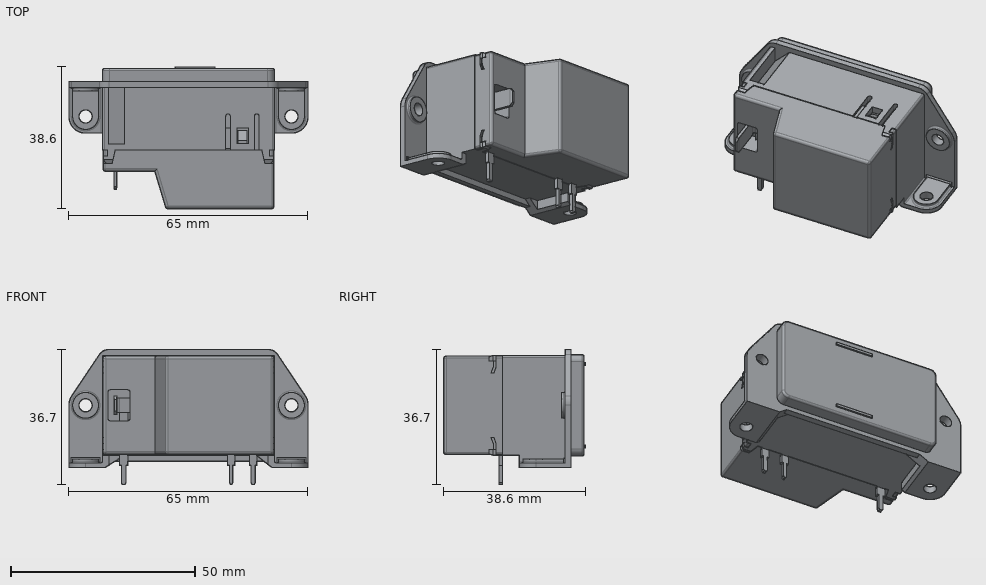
import cadquery as cq


HOUSING_HALF_WIDTH = 23.4
HOUSING_HALF_HEIGHT = 13.6
HOUSING_FRONT_Y = -16.95
HOUSING_TOP_EDGE_RADIUS = 0.6
CAP_HALF_HEIGHT = 13.8
CAP_BACK_Y = 5.15
CAP_CORNER_RADIUS = 1.95
CAP_EDGE_RADIUS = 0.6
BAR_X_RANGE = (-3.65, 7.2)
BAR_HEIGHT = 0.8
BAR_PROJECTION = 0.4
BAR_Z = 11.2

PLATE_THICKNESS = 1.6
PLATE_HALF_WIDTH = 32.5
PLATE_HALF_HEIGHT = 15.2
PLATE_TOP_HALF_WIDTH = 23.3
PLATE_TOP_RADIUS = 3.25
SHOULDER_RADIUS = 4.55
SHOULDER_Z = 1.4
FOOT_BOTTOM_Z = -16.9
FOOT_TOP_Z = -15.6
WEB_THICKNESS = 1.75
WEB_FILLET = 0.3
HOLE_X = PLATE_HALF_WIDTH - SHOULDER_RADIUS
HOLE_RADIUS = 1.75
FOOT_HOLE_Y = -7.9
FOOT_FRONT_Y = FOOT_HOLE_Y - SHOULDER_RADIUS
PAD_RADIUS = 3.5
PAD_THICKNESS = 1.0
PAD_FILLET = 0.4
SLOPE_START_X = 22.6
LEFT_SLOPE_RUN = 5.2
RIGHT_SLOPE_RUN = 4.15

WEDGE_LEFT_X = -21.8
WEDGE_RIGHT_X = -17.4
WEDGE_FRONT_Y = -15.4
WEDGE_DEPTH = 4.55
SLOT_WIDTH = 1.25
SLOT_BACK_Y = -7.2
SLOT_DEPTH = 1.95
LEFT_SLOT_X = 10.7
RIGHT_SLOT_X = 18.5
SHELF_BACK_Y = -11.1
SHELF_FRONT_Y = -16.6
SHELF_DEPTH = 0.65
LATCH_X = 14.7
LATCH_WIDTH = 3.1
LATCH_Y_RANGE = (-15.3, -11.1)
LATCH_DEPTH = 1.95
HOOK_WIDTH = 2.5
HOOK_RAMP_BACK_Y = -11.7
HOOK_RAMP_FRONT_Y = -14.4
HOOK_TOP_GAP = 0.5

LUG_ROOT_X = 19.9
LUG_TIP_X = 20.75
LUG_NECK_X = 22.0
LUG_STEP_Y = -18.7
LUG_SLOPE_Y = -19.6
LUG_TIP_Y = -20.7
LUG_BOTTOM_Z = 12.0
LUG_TIP_TOP_Z = 13.1
LUG_TIP_OUTER_X = 22.35

COVER_HALF_WIDTH = 23.2
COVER_HALF_HEIGHT = 13.4
COVER_LOW_FRONT_Y = -22.9
COVER_FRONT_Y = -33.0
COVER_SLOPE_TOP_X = -9.15
COVER_SLOPE_BOTTOM_X = -6.1
COVER_FRONT_RADIUS = 0.8
COVER_SIDE_RADIUS = 0.5
WINDOW_X_RANGE = (-21.9, -15.85)
WINDOW_HALF_HEIGHT = 4.2
WINDOW_RADIUS = 0.7
GROOVE_WIDTH = 0.8
GROOVE_DEPTH = 0.65
GROOVE_BEND_Z = 10.4
GROOVE_END_Z = 8.7
GROOVE_SHIFT = 0.65

STRIP_THICKNESS = 1.05
PIN_BOTTOM_Z = -21.5
SHANK_BOTTOM_Z = -16.3
CONTACT_SHANK_TOP_Z = -11.7
PIN_TIP_TAPER = 0.25
PIN_TIP_LENGTH = 0.5
BLADE_LEFT_X = -20.3
BLADE_THICKNESS = 0.85
BLADE_HALF_HEIGHT = 2.5
BLADE_TIP_HALF_HEIGHT = 1.55
BLADE_TIP_Y = -27.75
BLADE_TAPER_Y = -27.0
BLADE_TIP_BEVEL = 0.1
BASE_HALF_HEIGHT = 2.0
BEND_RADIUS = 0.65
PINS = [
    (-17.6, 2.35, 1.3, -BASE_HALF_HEIGHT),
    (11.6, 2.0, 0.9, CONTACT_SHANK_TOP_Z),
    (17.55, 2.0, 1.2, CONTACT_SHANK_TOP_Z),
]


def box(x_range, y_range, z_range):
    """A box between two x, two y and two z values."""
    sizes = [max(r) - min(r) for r in (x_range, y_range, z_range)]
    return cq.Workplane().box(*sizes, centered=False).translate((min(x_range), min(y_range), min(z_range)))


def extrude_along_y(points, back_y, front_y):
    """Extrude an XZ outline forwards from back_y to front_y."""
    sketch = cq.Workplane("XZ", origin=(0, back_y, 0)).polyline(points).close()
    return sketch.extrude(back_y - front_y)


def extrude_along_x(points, left_x, right_x):
    """Extrude a YZ outline from left_x to right_x."""
    sketch = cq.Workplane("YZ", origin=(left_x, 0, 0)).polyline(points).close()
    return sketch.extrude(right_x - left_x)


def four_corners(shape):
    """The shape and its mirror images at the other three corners of the X-Z section."""
    pair = shape.union(shape.mirror("YZ"))
    return pair.union(pair.mirror("XY"))


def make_lug_recess():
    """Full recess in the cover for the lug at the upper right corner."""
    outline = [
        (LUG_ROOT_X, HOUSING_FRONT_Y),
        (LUG_NECK_X, HOUSING_FRONT_Y),
        (LUG_NECK_X, LUG_STEP_Y),
        (COVER_HALF_WIDTH, LUG_STEP_Y),
        (COVER_HALF_WIDTH, LUG_TIP_Y),
        (LUG_TIP_X, LUG_TIP_Y),
    ]
    sketch = cq.Workplane(origin=(0, 0, LUG_BOTTOM_Z)).polyline(outline).close()
    return sketch.extrude(HOUSING_HALF_HEIGHT - LUG_BOTTOM_Z)


def make_lug():
    """Lug at the upper right corner: it fills its recess but for a sloped tip and a cut corner."""
    slope = [
        (LUG_SLOPE_Y, HOUSING_HALF_HEIGHT),
        (LUG_TIP_Y, HOUSING_HALF_HEIGHT),
        (LUG_TIP_Y, LUG_TIP_TOP_Z),
    ]
    corner = [
        (COVER_HALF_WIDTH, LUG_SLOPE_Y),
        (COVER_HALF_WIDTH, LUG_TIP_Y),
        (LUG_TIP_OUTER_X, LUG_TIP_Y),
    ]
    corner_cut = cq.Workplane().polyline(corner).close().extrude(HOUSING_HALF_HEIGHT)
    slope_cut = extrude_along_x(slope, LUG_ROOT_X, COVER_HALF_WIDTH)
    return make_lug_recess().cut(slope_cut).cut(corner_cut)


def make_box_and_cap():
    """Front box and the rear cap behind the plate, with two raised bars on the cap."""
    front_box = box(
        (-HOUSING_HALF_WIDTH, HOUSING_HALF_WIDTH),
        (HOUSING_FRONT_Y, PLATE_THICKNESS),
        (-HOUSING_HALF_HEIGHT, HOUSING_HALF_HEIGHT),
    ).edges("|Y and >Z").fillet(HOUSING_TOP_EDGE_RADIUS)
    cap = box(
        (-HOUSING_HALF_WIDTH, HOUSING_HALF_WIDTH),
        (0, CAP_BACK_Y),
        (-CAP_HALF_HEIGHT, CAP_HALF_HEIGHT),
    )
    cap = cap.edges("|Y").fillet(CAP_CORNER_RADIUS).faces(">Y").edges().fillet(CAP_EDGE_RADIUS)
    body = front_box.union(cap)
    for z in (-BAR_Z, BAR_Z):
        z_range = (z - BAR_HEIGHT / 2, z + BAR_HEIGHT / 2)
        body = body.union(box(BAR_X_RANGE, (CAP_BACK_Y, CAP_BACK_Y + BAR_PROJECTION), z_range))
    return body


def make_plate():
    """Mounting plate with sloped upper corners and rounded shoulders."""
    outline = [
        (-PLATE_HALF_WIDTH, FOOT_TOP_Z),
        (-PLATE_HALF_WIDTH, SHOULDER_Z),
        (-PLATE_TOP_HALF_WIDTH, PLATE_HALF_HEIGHT),
        (PLATE_TOP_HALF_WIDTH, PLATE_HALF_HEIGHT),
        (PLATE_HALF_WIDTH, SHOULDER_Z),
        (PLATE_HALF_WIDTH, FOOT_TOP_Z),
        (HOUSING_HALF_WIDTH, FOOT_TOP_Z),
        (HOUSING_HALF_WIDTH, -PLATE_HALF_HEIGHT),
        (-HOUSING_HALF_WIDTH, -PLATE_HALF_HEIGHT),
        (-HOUSING_HALF_WIDTH, FOOT_TOP_Z),
    ]
    plate = extrude_along_y(outline, PLATE_THICKNESS, 0)
    for x, z, radius in (
        (PLATE_HALF_WIDTH, SHOULDER_Z, SHOULDER_RADIUS),
        (PLATE_TOP_HALF_WIDTH, PLATE_HALF_HEIGHT, PLATE_TOP_RADIUS),
    ):
        for side in (-1, 1):
            corner = cq.selectors.NearestToPointSelector((side * x, PLATE_THICKNESS / 2, z))
            plate = plate.edges(corner).fillet(radius)
    return plate


def make_foot(slope_run):
    """Right-hand foot, its web under the box and the gusset that slopes up from the web."""
    slope = (-HOUSING_HALF_HEIGHT - FOOT_BOTTOM_Z) / slope_run
    web_inner_x = HOUSING_HALF_WIDTH - WEB_THICKNESS
    web_corner_z = FOOT_BOTTOM_Z + slope * (SLOPE_START_X - web_inner_x)
    foot = (
        cq.Workplane("XZ", origin=(0, PLATE_THICKNESS, 0))
        .moveTo(PLATE_HALF_WIDTH, FOOT_BOTTOM_Z)
        .lineTo(SLOPE_START_X, FOOT_BOTTOM_Z)
        .lineTo(web_inner_x, web_corner_z)
        .lineTo(web_inner_x, -HOUSING_HALF_HEIGHT)
        .lineTo(HOUSING_HALF_WIDTH, -HOUSING_HALF_HEIGHT)
        .lineTo(HOUSING_HALF_WIDTH, FOOT_TOP_Z + WEB_FILLET)
        .radiusArc((HOUSING_HALF_WIDTH + WEB_FILLET, FOOT_TOP_Z), -WEB_FILLET)
        .lineTo(PLATE_HALF_WIDTH, FOOT_TOP_Z)
        .close()
        .extrude(PLATE_THICKNESS - FOOT_FRONT_Y)
    )
    foot = foot.edges("|Z and >X and <Y").fillet(SHOULDER_RADIUS)
    gusset = [
        (web_inner_x, web_corner_z),
        (web_inner_x, -HOUSING_HALF_HEIGHT),
        (SLOPE_START_X - slope_run, -HOUSING_HALF_HEIGHT),
    ]
    return foot.union(extrude_along_y(gusset, PLATE_THICKNESS, -PLATE_THICKNESS))


def add_foot_pad(foot):
    """Add the raised pad around the foot hole, filleted to the foot and to the plate."""
    pad = (
        cq.Workplane(origin=(HOLE_X, 0, FOOT_TOP_Z))
        .moveTo(-PAD_RADIUS, PLATE_THICKNESS)
        .lineTo(-PAD_RADIUS, FOOT_HOLE_Y)
        .radiusArc((PAD_RADIUS, FOOT_HOLE_Y), -PAD_RADIUS)
        .lineTo(PAD_RADIUS, PLATE_THICKNESS)
        .close()
        .extrude(PAD_THICKNESS)
    )
    reach = PAD_RADIUS + PAD_FILLET / 2
    pad_foot_edges = cq.selectors.BoxSelector(
        (HOLE_X - reach, FOOT_HOLE_Y - reach, FOOT_TOP_Z - PAD_FILLET / 2),
        (HOLE_X + reach, PLATE_THICKNESS + reach, FOOT_TOP_Z + PAD_FILLET / 2),
        boundingbox=True,
    )
    foot = foot.union(pad).edges(pad_foot_edges).fillet(PAD_FILLET)
    flare_half_width = PAD_RADIUS + PAD_FILLET
    pad_top_z = FOOT_TOP_Z + PAD_THICKNESS
    flare = (
        cq.Workplane("YZ", origin=(HOLE_X - flare_half_width, 0, 0))
        .moveTo(0, FOOT_TOP_Z)
        .lineTo(0, pad_top_z + PAD_FILLET)
        .radiusArc((-PAD_FILLET, pad_top_z), -PAD_FILLET)
        .lineTo(-PAD_FILLET, FOOT_TOP_Z)
        .close()
        .extrude(2 * flare_half_width)
    )
    return foot.union(flare)


def make_wall_pad():
    """Raised round pad on the front of the plate, flared by a fillet at its root."""
    return (
        cq.Workplane()
        .lineTo(PAD_RADIUS + PAD_FILLET, 0)
        .radiusArc((PAD_RADIUS, -PAD_FILLET), -PAD_FILLET)
        .lineTo(PAD_RADIUS, -PAD_THICKNESS)
        .lineTo(0, -PAD_THICKNESS)
        .close()
        .revolve(360, (0, 0, 0), (0, 1, 0))
        .translate((HOLE_X, 0, 0))
    )


def make_mount(slope_run):
    """Foot and pads of the right-hand end."""
    return add_foot_pad(make_foot(slope_run)).union(make_wall_pad())


def make_mounting_holes():
    """Drills for the plate hole and the foot hole of the right-hand end."""
    plate_hole = (
        cq.Workplane("XZ", origin=(HOLE_X, PLATE_THICKNESS, 0))
        .circle(HOLE_RADIUS)
        .extrude(PLATE_THICKNESS + PAD_THICKNESS)
    )
    foot_hole = (
        cq.Workplane(origin=(HOLE_X, FOOT_HOLE_Y, FOOT_BOTTOM_Z))
        .circle(HOLE_RADIUS)
        .extrude(FOOT_TOP_Z + PAD_THICKNESS - FOOT_BOTTOM_Z)
    )
    return plate_hole.union(foot_hole)


def make_slot(center_x):
    """Cutter for a slot in the top of the housing, round at the back and open at the front."""
    half_width = SLOT_WIDTH / 2
    arc_start_y = SLOT_BACK_Y - half_width
    return (
        cq.Workplane(origin=(center_x, 0, HOUSING_HALF_HEIGHT - SLOT_DEPTH))
        .moveTo(-half_width, HOUSING_FRONT_Y)
        .lineTo(-half_width, arc_start_y)
        .radiusArc((half_width, arc_start_y), half_width)
        .lineTo(half_width, HOUSING_FRONT_Y)
        .close()
        .extrude(SLOT_DEPTH)
    )


def make_wedge_recess():
    """Cutter for the long recess whose floor slopes down towards the left."""
    outline = [
        (WEDGE_LEFT_X, HOUSING_HALF_HEIGHT),
        (WEDGE_RIGHT_X, HOUSING_HALF_HEIGHT),
        (WEDGE_LEFT_X, HOUSING_HALF_HEIGHT - WEDGE_DEPTH),
    ]
    return extrude_along_y(outline, 0, WEDGE_FRONT_Y)


def make_top_slots():
    """Cutters for both slots, the left one with a shallow shelf in front."""
    deep_left = make_slot(LEFT_SLOT_X)
    shelf_width = (LEFT_SLOT_X - SLOT_WIDTH, LEFT_SLOT_X + SLOT_WIDTH)
    shelf_floor = HOUSING_HALF_HEIGHT - SHELF_DEPTH
    shelf = box(shelf_width, (SHELF_FRONT_Y, SHELF_BACK_Y), (shelf_floor - SLOT_DEPTH, shelf_floor))
    return deep_left.cut(shelf).union(make_slot(RIGHT_SLOT_X))


def make_latch_pocket():
    """Cutter for the square latch pocket, leaving the ramped hook on its floor."""
    pocket = box(
        (LATCH_X - LATCH_WIDTH / 2, LATCH_X + LATCH_WIDTH / 2),
        LATCH_Y_RANGE,
        (HOUSING_HALF_HEIGHT - LATCH_DEPTH, HOUSING_HALF_HEIGHT),
    )
    floor_z = HOUSING_HALF_HEIGHT - LATCH_DEPTH
    hook_top_z = HOUSING_HALF_HEIGHT - HOOK_TOP_GAP
    hook = [
        (HOOK_RAMP_BACK_Y, floor_z),
        (HOOK_RAMP_FRONT_Y, hook_top_z),
        (LATCH_Y_RANGE[0], hook_top_z),
        (LATCH_Y_RANGE[0], floor_z),
    ]
    return pocket.cut(extrude_along_x(hook, LATCH_X - HOOK_WIDTH / 2, LATCH_X + HOOK_WIDTH / 2))


def make_housing():
    """Housing: box, rear cap, plate and feet in one piece, with its recesses and corner lugs."""
    left_mount = make_mount(LEFT_SLOPE_RUN).mirror("YZ")
    housing = make_box_and_cap().union(make_plate()).union(left_mount)
    housing = housing.union(make_mount(RIGHT_SLOPE_RUN)).union(four_corners(make_lug()))
    holes = make_mounting_holes()
    housing = housing.cut(holes).cut(holes.mirror("YZ"))
    return housing.cut(make_wedge_recess()).cut(make_top_slots()).cut(make_latch_pocket())


def make_cover_block():
    """Stepped cover block, rounded everywhere but at its mating face and inner corner."""
    outline = [
        (-COVER_HALF_WIDTH, HOUSING_FRONT_Y),
        (-COVER_HALF_WIDTH, COVER_LOW_FRONT_Y),
        (COVER_SLOPE_TOP_X, COVER_LOW_FRONT_Y),
        (COVER_SLOPE_BOTTOM_X, COVER_FRONT_Y),
        (COVER_HALF_WIDTH, COVER_FRONT_Y),
        (COVER_HALF_WIDTH, HOUSING_FRONT_Y),
    ]
    block = cq.Workplane(origin=(0, 0, -COVER_HALF_HEIGHT)).polyline(outline).close()
    block = block.extrude(2 * COVER_HALF_HEIGHT)
    block = block.faces("|Z").edges("|Y").fillet(COVER_SIDE_RADIUS)
    margin = COVER_SIDE_RADIUS / 2
    front_edges = cq.selectors.BoxSelector(
        (-COVER_HALF_WIDTH - margin, COVER_FRONT_Y - margin, -COVER_HALF_HEIGHT - margin),
        (COVER_HALF_WIDTH + margin, COVER_LOW_FRONT_Y + margin, COVER_HALF_HEIGHT + margin),
        boundingbox=True,
    )
    inner_edge = cq.selectors.NearestToPointSelector((COVER_SLOPE_TOP_X, COVER_LOW_FRONT_Y, 0))
    return block.edges(front_edges - inner_edge).fillet(COVER_FRONT_RADIUS)


def make_window():
    """Cutter for the rounded window in front of the blade, down to the mating face."""
    z_range = (-WINDOW_HALF_HEIGHT, WINDOW_HALF_HEIGHT)
    window = box(WINDOW_X_RANGE, (COVER_LOW_FRONT_Y, HOUSING_FRONT_Y), z_range)
    return window.edges("|Y").fillet(WINDOW_RADIUS)


def make_side_groove():
    """Cutter for the bent groove in the right side, running down from the upper lug."""
    bend_y = LUG_STEP_Y - GROOVE_SHIFT
    outline = [
        (LUG_STEP_Y, LUG_BOTTOM_Z),
        (LUG_STEP_Y, GROOVE_BEND_Z),
        (bend_y, GROOVE_END_Z),
        (bend_y - GROOVE_WIDTH, GROOVE_END_Z),
        (LUG_STEP_Y - GROOVE_WIDTH, GROOVE_BEND_Z),
        (LUG_STEP_Y - GROOVE_WIDTH, LUG_BOTTOM_Z),
    ]
    return extrude_along_x(outline, COVER_HALF_WIDTH - GROOVE_DEPTH, COVER_HALF_WIDTH)


def make_pin(center_x, shank_width, pin_width, top_z):
    """Flat pin with a wide shank above and a tapered tip below."""
    y_range = (HOUSING_FRONT_Y - STRIP_THICKNESS, HOUSING_FRONT_Y)
    shank = box(
        (center_x - shank_width / 2, center_x + shank_width / 2), y_range, (SHANK_BOTTOM_Z, top_z)
    )
    half_width = pin_width / 2
    half_tip = half_width - PIN_TIP_TAPER
    tip_top_z = PIN_BOTTOM_Z + PIN_TIP_LENGTH
    outline = [
        (center_x - half_width, SHANK_BOTTOM_Z),
        (center_x - half_width, tip_top_z),
        (center_x - half_tip, PIN_BOTTOM_Z),
        (center_x + half_tip, PIN_BOTTOM_Z),
        (center_x + half_width, tip_top_z),
        (center_x + half_width, SHANK_BOTTOM_Z),
    ]
    return shank.union(extrude_along_y(outline, *reversed(y_range)))


def make_blade_terminal():
    """Bent terminal: a bevelled blade pointing forwards from a flat base."""
    back_y = HOUSING_FRONT_Y
    right_x = BLADE_LEFT_X + BLADE_THICKNESS
    blade = [
        (back_y, -BLADE_HALF_HEIGHT),
        (BLADE_TAPER_Y, -BLADE_HALF_HEIGHT),
        (BLADE_TIP_Y, -BLADE_TIP_HALF_HEIGHT),
        (BLADE_TIP_Y, BLADE_TIP_HALF_HEIGHT),
        (BLADE_TAPER_Y, BLADE_HALF_HEIGHT),
        (back_y, BLADE_HALF_HEIGHT),
    ]
    terminal = extrude_along_x(blade, BLADE_LEFT_X, right_x)
    bevelled_plan = [
        (BLADE_LEFT_X, back_y),
        (BLADE_LEFT_X, BLADE_TAPER_Y),
        (BLADE_LEFT_X + BLADE_TIP_BEVEL, BLADE_TIP_Y),
        (right_x - BLADE_TIP_BEVEL, BLADE_TIP_Y),
        (right_x, BLADE_TAPER_Y),
        (right_x, back_y),
    ]
    plan = cq.Workplane(origin=(0, 0, -BLADE_HALF_HEIGHT)).polyline(bevelled_plan).close()
    terminal = terminal.intersect(plan.extrude(2 * BLADE_HALF_HEIGHT))
    base = box(
        (BLADE_LEFT_X, WINDOW_X_RANGE[1]),
        (back_y - STRIP_THICKNESS, back_y),
        (-BASE_HALF_HEIGHT, BASE_HALF_HEIGHT),
    )
    inner_bend = cq.selectors.NearestToPointSelector((right_x, back_y - STRIP_THICKNESS, 0))
    return terminal.union(base).edges(inner_bend).fillet(BEND_RADIUS)


def make_cover(terminals):
    """Cover with its window, side grooves and recesses for the lugs and the given terminals."""
    cover = make_cover_block().cut(make_window())
    cover = cover.cut(four_corners(make_lug_recess())).cut(four_corners(make_side_groove()))
    for terminal in terminals:
        cover = cover.cut(terminal)
    return cover


housing = make_housing()
blade_terminal = make_blade_terminal()
pins = [make_pin(*pin) for pin in PINS]
cover = make_cover([blade_terminal, *pins])

bodies = [housing, cover, blade_terminal, *pins]
result = cq.Compound.makeCompound([body.solids().val() for body in bodies])